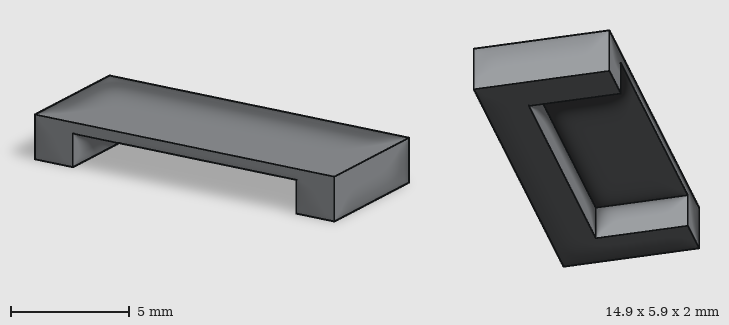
import cadquery as cq

length = 14.9
width = 5.9
height = 2.0

wall = 1.9
top_thickness = 0.5

recess_length = length - 2 * wall
recess_width = width - wall
recess_height = height - top_thickness


def make_block():
    """Plain block centred in X and Y, standing on Z = 0."""
    return cq.Workplane("XY").box(length, width, height, centered=(True, True, False))


def make_recess():
    """Volume removed from the underside, leaving the end walls, rear wall and top."""
    return (
        cq.Workplane("XY")
        .box(recess_length, recess_width, recess_height, centered=(True, False, False))
        .translate((0, -width / 2, 0))
    )


result = make_block().cut(make_recess())